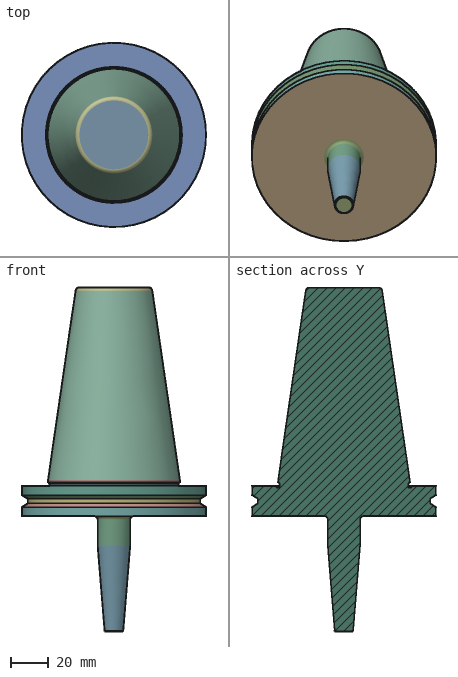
import cadquery as cq

total_height = 181.8
flange_bottom = 60.9
flange_thickness = 16.0
flange_top = flange_bottom + flange_thickness
gauge_plane = 80.0

gauge_radius = 34.9
taper_slope = 7 / 24 / 2
taper_top_radius = gauge_radius - taper_slope * (total_height - gauge_plane)
taper_top_fillet = 2.2

collar_height = 1.0
relief_depth = 0.7
relief_height = 0.7
collar_bottom = gauge_plane - collar_height
relief_bottom = collar_bottom - relief_height
relief_radius = gauge_radius - relief_depth
undercut_depth = 0.7
undercut_floor_radius = 35.5
undercut_mouth_radius = 36.0

flange_radius = 48.7
groove_center = 68.9
groove_mouth = 6.4
groove_floor = 2.4
groove_floor_radius = 45.6

shank_diameter = 17.3
shank_radius = shank_diameter / 2
shank_fillet = 1.8
nose_cone_top = 45.0
tip_diameter = 10.0
tip_radius = tip_diameter / 2
tip_chamfer = 0.5


def make_taper():
    """Taper body with the relief under its large end."""
    profile = (
        cq.Workplane("XZ")
        .moveTo(0, flange_bottom)
        .lineTo(relief_radius, flange_bottom)
        .lineTo(relief_radius, relief_bottom)
        .lineTo(gauge_radius, collar_bottom)
        .lineTo(gauge_radius, gauge_plane)
        .lineTo(taper_top_radius, total_height)
        .lineTo(0, total_height)
        .close()
    )
    taper = profile.revolve(360, (0, 0, 0), (0, 1, 0))
    return taper.faces(">Z").edges().fillet(taper_top_fillet)


def make_flange():
    """Flange disc with its rim groove and the ring undercut around the taper neck."""
    profile = (
        cq.Workplane("XZ")
        .moveTo(0, flange_bottom)
        .lineTo(flange_radius, flange_bottom)
        .lineTo(flange_radius, groove_center - groove_mouth / 2)
        .lineTo(groove_floor_radius, groove_center - groove_floor / 2)
        .lineTo(groove_floor_radius, groove_center + groove_floor / 2)
        .lineTo(flange_radius, groove_center + groove_mouth / 2)
        .lineTo(flange_radius, flange_top)
        .lineTo(undercut_mouth_radius, flange_top)
        .lineTo(undercut_floor_radius, flange_top - undercut_depth)
        .lineTo(relief_radius, flange_top - undercut_depth)
        .lineTo(relief_radius, flange_top)
        .lineTo(0, flange_top)
        .close()
    )
    return profile.revolve(360, (0, 0, 0), (0, 1, 0))


def make_nose():
    """Conical nose, cylindrical shank and the fillet that meets the flange."""
    profile = (
        cq.Workplane("XZ")
        .lineTo(tip_radius - tip_chamfer, 0)
        .lineTo(tip_radius, tip_chamfer)
        .lineTo(shank_radius, nose_cone_top)
        .lineTo(shank_radius, flange_bottom - shank_fillet)
        .radiusArc((shank_radius + shank_fillet, flange_bottom), shank_fillet)
        .lineTo(0, flange_bottom)
        .close()
    )
    return profile.revolve(360, (0, 0, 0), (0, 1, 0))


result = make_flange().union(make_taper()).union(make_nose())